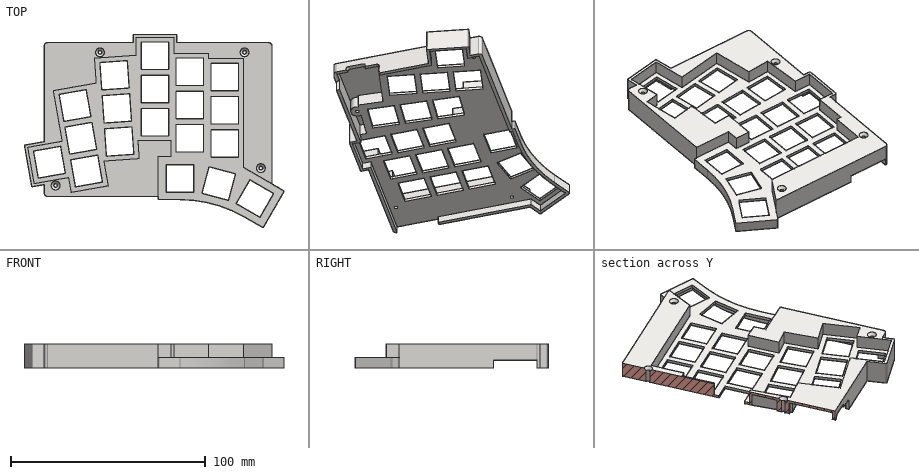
import cadquery as cq
import math

total_height = 12.5
plate_top = 5.6
plate_bottom = 4.0
wall = 1.7
eps = 0.7

body_left, body_right = 10.1, 127.0
body_front, body_back = 16.0, 95.0
body_corner_radius = 1.7
body_length = body_right - body_left
body_width = body_back - body_front
body_center = ((body_left + body_right) / 2, (body_front + body_back) / 2)

pitch_x, pitch_y = 18.0, 17.0
hole_size = 14.0
recess_size = (19.3, 18.9)
outline_size = (22.4, 21.8)
bump_corner_radius = 0.5

pinky_column = ((28.9, 45.9), 10)
columns = [
    pinky_column,
    ((47.4, 61.2), 4),
    ((67.0, 71.2), 0),
    ((84.8, 63.0), 0),
    ((102.8, 60.3), 0),
]
middle_column = columns[2]
last_column = columns[-1]
fan_fill = 4.0
outer_key_drop = 9.3

thumb_first = (79.7, 25.3)
thumb_count = 3
thumb_radius = 77.0
thumb_step = 15
thumb_half_width = 11.2
thumb_half_depth = 10.9
thumb_back = 36.6

screw_points = [(38.7, 90.0), (112.9, 90.0), (121.3, 30.6), (16.0, 21.7)]
screw_diameter = 1.7
sink_diameter = 4.5
sink_angle = 90

pocket_top = total_height - wall
pocket_front = 70.4
boss_radius = 3.5
port_top = 6.5
port_depth = 6.5
port_corner_radius = 1.6
far_port_front = 71.1
plug_y = 82.9
plug_outer = (10.1, 8.7)
plug_inner = (9.2, 8.3)
plug_corner_radius = 1.2


def shifted(point, angle, dx, dy):
    """Move a point by (dx, dy) measured in a frame turned by angle degrees."""
    c = math.cos(math.radians(angle))
    s = math.sin(math.radians(angle))
    return (point[0] + dx * c - dy * s, point[1] + dx * s + dy * c)


def key_blocks(keys, size, z_low, z_high):
    """Union of upright boxes, one on every key."""
    blocks = cq.Workplane("XY")
    for (x, y), angle in keys:
        block = (
            cq.Workplane("XY")
            .rect(*size)
            .extrude(z_high - z_low)
            .rotate((0, 0, 0), (0, 0, 1), angle)
            .translate((x, y, z_low))
        )
        blocks = blocks.union(block)
    return blocks


def box_between(low, high):
    """Box spanning two opposite corners."""
    size = [b - a for a, b in zip(low, high)]
    return cq.Workplane("XY").box(*size, centered=False).translate(tuple(low))


finger_keys = [
    (shifted(center, angle, 0, row * pitch_y), angle)
    for center, angle in columns
    for row in (-1, 0, 1)
]
outer_key = (shifted(pinky_column[0], pinky_column[1], -pitch_x, -outer_key_drop), pinky_column[1])
top_key = (shifted(middle_column[0], middle_column[1], 0, pitch_y), middle_column[1])
finger_keys.append(outer_key)
fan_fills = [
    (shifted(center, angle, fan_fill, row * pitch_y), angle)
    for center, angle in columns
    for row in (0, 1)
    if angle
]

thumb_pivot = (thumb_first[0], thumb_first[1] - thumb_radius)
thumb_keys = [
    (shifted(thumb_pivot, -thumb_step * i, 0, thumb_radius), -thumb_step * i)
    for i in range(thumb_count)
]


def thumb_outline():
    """Plan outline of the thumb cluster: straight ends joined by a concave arc."""
    last_center, last_angle = thumb_keys[-1]
    tip_back = shifted(last_center, last_angle, thumb_half_width, thumb_half_depth)
    tip_front = shifted(last_center, last_angle, thumb_half_width, -thumb_half_depth)
    slope_start_x = last_column[0][0] + recess_size[0] / 2
    slope_rise = (tip_back[0] - slope_start_x) * math.tan(math.radians(-last_angle))
    inner_radius = thumb_radius - thumb_half_depth
    arc_points = [shifted(thumb_pivot, angle, 0, inner_radius) for _, angle in thumb_keys]
    arc_start, arc_middle, arc_end = arc_points
    left = thumb_first[0] - thumb_half_width
    return (
        cq.Workplane("XY")
        .moveTo(left, thumb_back)
        .lineTo(slope_start_x, thumb_back)
        .lineTo(slope_start_x, tip_back[1] + slope_rise)
        .lineTo(*tip_back)
        .lineTo(*tip_front)
        .lineTo(*arc_end)
        .threePointArc(arc_middle, arc_start)
        .lineTo(left, arc_start[1])
        .close()
    )


def outer_body():
    """Full-height block with the two key bumps and the low thumb cluster."""
    block = (
        cq.Workplane("XY")
        .center(*body_center)
        .rect(body_length, body_width)
        .extrude(total_height)
        .edges("|Z")
        .fillet(body_corner_radius)
    )
    bumps = key_blocks([outer_key, top_key], outline_size, 0, total_height)
    bumps = bumps.edges("|Z").fillet(bump_corner_radius)
    thumb = thumb_outline().extrude(total_height)
    thumb = thumb.edges("|Z and (<X or >X or <Y)").fillet(bump_corner_radius)
    return block.union(bumps).union(thumb)


def key_recess():
    """Everything above the switch plate around the finger keys and thumb cluster."""
    recess = key_blocks(finger_keys + fan_fills, recess_size, plate_top, total_height + eps)
    thumb = thumb_outline().extrude(total_height).translate((0, 0, plate_top))
    return recess.union(thumb)


def underside_cavity():
    """Open space below the switch plate, inside the outer walls."""
    main = box_between(
        (body_left + wall, body_front + wall, -eps),
        (body_right - wall, body_back - wall, plate_bottom),
    )
    bumps = key_blocks([outer_key, top_key], recess_size, -eps, plate_bottom)
    thumb = thumb_outline().offset2D(-wall).extrude(plate_bottom + eps).translate((0, 0, -eps))
    return main.union(bumps).union(thumb)


def finger_key_walls():
    """Blocks around the finger keys that the controller space must not enter."""
    return key_blocks(finger_keys + fan_fills, outline_size, -eps, total_height)


def controller_pocket():
    """Pocket under the back left corner, kept clear of the key recess and screw boss."""
    bump_left = top_key[0][0] - outline_size[0] / 2
    pocket = box_between(
        (body_left + wall, pocket_front, plate_bottom - eps),
        (bump_left, body_back - wall, pocket_top),
    )
    boss = cq.Workplane("XY").center(*screw_points[0]).circle(boss_radius).extrude(total_height)
    return pocket.cut(finger_key_walls()).cut(boss)


def controller_port():
    """Wide low opening through the left wall, with rounded upper corners."""
    port = box_between(
        (body_left - eps, pocket_front, -eps),
        (body_left + port_depth, body_back, port_top),
    )
    return port.edges("|X and >Z").fillet(port_corner_radius).cut(finger_key_walls())


def plug_notch():
    """Tapered plug opening above the low opening, narrowing inwards."""

    def section(size):
        width, top = size
        return (
            cq.Sketch()
            .rect(width, top)
            .vertices()
            .fillet(plug_corner_radius)
            .moved(cq.Location(cq.Vector(plug_y, top / 2, 0)))
        )

    return (
        cq.Workplane("YZ", origin=(body_left, 0, 0))
        .placeSketch(
            section(plug_outer),
            section(plug_inner).moved(cq.Location(cq.Vector(0, 0, wall))),
        )
        .loft()
    )


def far_port():
    """Low opening through the right wall, level with the space below the plate."""
    return box_between(
        (body_right - wall - eps, far_port_front, -eps),
        (body_right + eps, body_back - wall, plate_bottom),
    )


result = outer_body().cut(key_recess()).cut(underside_cavity()).cut(controller_pocket())
result = result.cut(controller_port()).cut(plug_notch()).cut(far_port())
switch_holes = key_blocks(finger_keys + thumb_keys, (hole_size, hole_size), 0, total_height)
result = result.cut(switch_holes)
result = (
    result.faces(">Z")
    .workplane(origin=(0, 0, total_height))
    .pushPoints(screw_points)
    .cskHole(screw_diameter, sink_diameter, sink_angle)
)